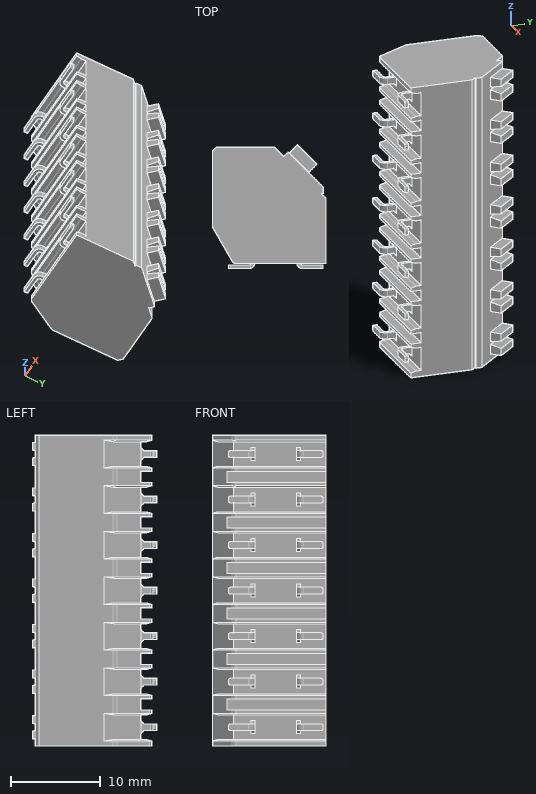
import cadquery as cq
import math

length = 34.68
pole_count = 7
first_pole_z = 2.1
pole_pitch = (length - 2 * first_pole_z) / (pole_count - 1)
pole_heights = [first_pole_z + i * pole_pitch for i in range(pole_count)]

width = 12.7
depth = 13.0
corner_chamfer = 0.45
bevel_angle = math.radians(30)
bevel_height = 4.1
bevel_width = bevel_height * math.tan(bevel_angle)
bevel_side_radius = 0.8
bevel_foot_radius = 0.52
back_flat_end = 6.95
notch_depth = 1.05
shoulder_rise = 0.5
nose_x = 12.38
nose_length = 0.7
nose_undercut = 0.17
right_side_top = 7.3

floor_y = 1.2
recess_side_y = 5.3
recess_height = 2.75
recess_half_height = recess_height / 2
lip_height = 0.17
lip_depth = floor_y * math.sin(bevel_angle)
slot_height = 1.2
overrun = 1.75

button_offset = 0.15
button_length = 3.1
button_rise = 1.32
button_height = 2.6
button_half_height = button_height / 2
groove_top_width = 0.85
groove_top_half = groove_top_width / 2
groove_base_half = 0.17

pin_thickness = 0.4
pin_half_width = 0.38
pin_root_half_width = 0.73
pin_bottom = -0.55
pin_bend_radius = 0.7
pin_tip_radius = 0.25
pin_pair_center = 7.07
pin_inner_reach = 2.32
pin_tip_reach = 5.27

notch_x = back_flat_end + notch_depth
notch_y = depth - notch_depth
slope_start = (notch_x + shoulder_rise, notch_y + shoulder_rise)
nose_top = slope_start[1] - (nose_x - slope_start[0])
undercut_x = nose_x - nose_undercut
undercut_y = right_side_top + width - undercut_x


def prism(points, z_bottom, z_top):
    """Polygon in XY extruded between two heights."""
    return cq.Workplane("XY").workplane(offset=z_bottom).polyline(points).close().extrude(z_top - z_bottom)


def make_housing():
    outline = [
        (0, bevel_height),
        (bevel_width, 0),
        (width, 0),
        (width, right_side_top),
        (undercut_x, undercut_y),
        (nose_x, nose_top - nose_length),
        (nose_x, nose_top),
        slope_start,
        (notch_x, notch_y),
        (back_flat_end, depth),
        (corner_chamfer, depth),
        (0, depth - corner_chamfer),
    ]
    housing = prism(outline, 0, length)
    housing = housing.edges(cq.NearestToPointSelector((0, bevel_height, length / 2))).fillet(bevel_side_radius)
    return housing.edges(cq.NearestToPointSelector((bevel_width, 0, length / 2))).fillet(bevel_foot_radius)


def lip_outline(inset):
    """Lower part of the housing profile, moved inwards from the left side, bevel and mounting face."""
    side_y = bevel_height + inset * math.tan(bevel_angle / 2)
    foot_x = bevel_width + inset * math.tan((math.pi / 2 - bevel_angle) / 2)
    right = width + overrun
    top = recess_side_y + overrun
    return [(inset, top), (inset, side_y), (foot_x, inset), (right, inset), (right, top)]


def make_lip():
    """Sloping rim that narrows the recess, standing below z = 0."""
    return (
        cq.Workplane("XY")
        .polyline(lip_outline(0))
        .close()
        .workplane(offset=-lip_height)
        .polyline(lip_outline(lip_depth))
        .close()
        .loft(ruled=True)
    )


def make_recess():
    """Pocket for one pole around z = 0, open at the mounting face, the bevel and the right side."""
    mouth_half = recess_half_height + lip_height
    run = math.tan(bevel_angle)
    outline = [
        (-overrun * run, recess_side_y + overrun),
        ((recess_side_y - floor_y) * run, floor_y),
        (width + overrun, floor_y),
        (width + overrun, -overrun),
        (-overrun * run, -overrun),
    ]
    upper_lip = make_lip().translate((0, 0, mouth_half))
    return prism(outline, -mouth_half, mouth_half).cut(upper_lip).cut(upper_lip.mirror("XY"))


def make_slot():
    """Straight slot between two poles, around z = 0."""
    return (
        cq.Workplane("XY")
        .box(width + 2 * overrun, floor_y + overrun, slot_height)
        .translate((width / 2, (floor_y - overrun) / 2, 0))
    )


def make_button():
    """Button with a tapered groove along the slope, around z = 0."""
    slope_plane = cq.Plane(origin=(*slope_start, 0), xDir=(0, 0, -1), normal=(1, -1, 0))
    half_section = [
        (groove_base_half, 0),
        (button_half_height, 0),
        (button_half_height, button_rise),
        (groove_top_half, button_rise),
    ]
    half_button = (
        cq.Workplane(slope_plane)
        .workplane(offset=button_offset)
        .polyline(half_section)
        .close()
        .extrude(button_length)
    )
    return half_button.union(half_button.mirror("XY"))


def make_right_pin():
    """Pin of the pair that points to +X, around z = 0."""
    inner_x = pin_pair_center + pin_inner_reach
    tip_x = pin_pair_center + pin_tip_reach
    inside_radius = pin_bend_radius - pin_thickness
    bend = (inner_x + pin_bend_radius, pin_bottom + pin_bend_radius)
    diagonal = math.sqrt(0.5)
    root_end_y = floor_y - (pin_root_half_width - pin_half_width)
    strip = (
        cq.Workplane("XY")
        .moveTo(inner_x, floor_y)
        .lineTo(inner_x, bend[1])
        .threePointArc(
            (bend[0] - pin_bend_radius * diagonal, bend[1] - pin_bend_radius * diagonal),
            (bend[0], pin_bottom),
        )
        .lineTo(tip_x, pin_bottom)
        .lineTo(tip_x, pin_bottom + pin_thickness)
        .lineTo(bend[0], pin_bottom + pin_thickness)
        .threePointArc(
            (bend[0] - inside_radius * diagonal, bend[1] - inside_radius * diagonal),
            (inner_x + pin_thickness, bend[1]),
        )
        .lineTo(inner_x + pin_thickness, floor_y)
        .close()
        .extrude(pin_half_width, both=True)
        .edges("|Y and >X")
        .fillet(pin_tip_radius)
    )
    root = (
        cq.Workplane("YZ")
        .workplane(offset=inner_x)
        .polyline([
            (floor_y, -pin_root_half_width),
            (floor_y, pin_root_half_width),
            (root_end_y, pin_half_width),
            (root_end_y, -pin_half_width),
        ])
        .close()
        .extrude(pin_thickness)
    )
    return strip.union(root)


housing = make_housing()

recess = make_recess()
for z in pole_heights:
    housing = housing.cut(recess.translate((0, 0, z)))

slot = make_slot()
for z in pole_heights[:-1]:
    housing = housing.cut(slot.translate((0, 0, z + pole_pitch / 2)))

button = make_button()
right_pin = make_right_pin()
left_pin = right_pin.mirror("YZ", (pin_pair_center, 0, 0))
for z in pole_heights:
    for fitting in (button, right_pin, left_pin):
        housing = housing.union(fitting.translate((0, 0, z)))

result = housing